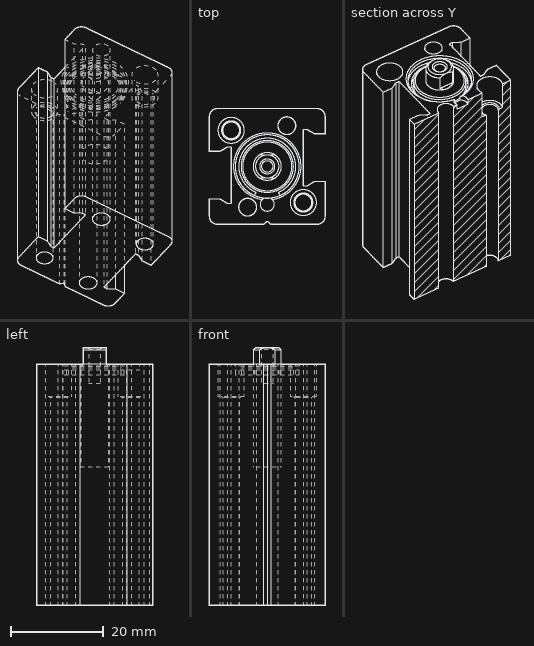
import cadquery as cq
import math

TOTAL_HEIGHT = 55.5
HOUSING_SIDE = 25.0
HOUSING_HEIGHT = 51.95
HALF_SIDE = HOUSING_SIDE / 2
CORNER_RADIUS = 1.8

SLOT_OFFSET = 1.9
SLOT_MOUTH_WIDTH = 10.2
SLOT_FLOOR_WIDTH = 12.1
SLOT_LIP_DEPTH = 2.35
SLOT_SLOPE_END_DEPTH = 3.9
SLOT_DEPTH = 4.7

GROOVE_WIDTH = 1.55
GROOVE_DEPTH = 0.65

BOLT_OFFSET = 7.75
BOLT_DIAMETER = 3.6
BOLT_CHAMFER_DIAMETER = 4.1
COUNTERBORE_DIAMETER = 5.6
COUNTERBORE_DEPTH = 7.0
PLAIN_HOLE_X = 4.2
PLAIN_HOLE_Y = 8.75
PLAIN_HOLE_DIAMETER = 3.8

RECESS_DIAMETER = 13.7
RECESS_DEPTH = 2.35
RECESS_CHAMFER = 0.4
COLLAR_DIAMETER = 11.2
COLLAR_DROP = 0.55
COLLAR_CHAMFER = 0.35

ACCESS_DIAMETER = 3.0
ACCESS_OFFSET = 8.15
ACCESS_DEPTH = 1.35

RING_INNER_DIAMETER = 12.2
RING_THICKNESS = 1.0
RING_GAP_ANGLE = 47.0

ROD_DIAMETER = 6.0
ROD_DEPTH_IN_HOUSING = 22.2
ROD_CHAMFER = 0.5
FLATS_WIDTH = 5.0
ROD_HOLE_DIAMETER = 2.45
ROD_HOLE_DEPTH = 7.75
ROD_HOLE_CHAMFER = 0.4

COLLAR_TOP = HOUSING_HEIGHT - COLLAR_DROP
RECESS_FLOOR = HOUSING_HEIGHT - RECESS_DEPTH
ROD_BOTTOM = HOUSING_HEIGHT - ROD_DEPTH_IN_HOUSING


def cylinder(diameter, bottom, top, x=0.0, y=0.0):
    """Upright cylinder between two heights."""
    return cq.Workplane(origin=(x, y, bottom)).circle(diameter / 2).extrude(top - bottom)


def cone(bottom_diameter, top_diameter, bottom, top, x=0.0, y=0.0):
    """Upright truncated cone between two heights."""
    solid = cq.Solid.makeCone(bottom_diameter / 2, top_diameter / 2, top - bottom, cq.Vector(x, y, bottom))
    return cq.Workplane(solid)


def sensor_slot():
    """Slot in the -X side that widens behind its lips."""
    mouth = SLOT_MOUTH_WIDTH / 2
    floor = SLOT_FLOOR_WIDTH / 2
    upper = [(0, mouth), (SLOT_LIP_DEPTH, mouth), (SLOT_SLOPE_END_DEPTH, floor), (SLOT_DEPTH, floor)]
    lower = [(depth, -half_width) for depth, half_width in reversed(upper)]
    outline = cq.Workplane(origin=(-HALF_SIDE, -SLOT_OFFSET, 0)).polyline(upper + lower).close()
    return outline.extrude(HOUSING_HEIGHT)


def v_groove():
    outline = [(-GROOVE_WIDTH / 2, 0), (GROOVE_WIDTH / 2, 0), (0, GROOVE_DEPTH)]
    return cq.Workplane(origin=(0, -HALF_SIDE, 0)).polyline(outline).close().extrude(HOUSING_HEIGHT)


def counterbored_hole(x, y):
    """Through hole with a deep counterbore and a chamfer at the counterbore floor."""
    floor = HOUSING_HEIGHT - COUNTERBORE_DEPTH
    chamfer_height = (BOLT_CHAMFER_DIAMETER - BOLT_DIAMETER) / 2
    hole = cylinder(BOLT_DIAMETER, 0, HOUSING_HEIGHT, x, y)
    chamfer = cone(BOLT_DIAMETER, BOLT_CHAMFER_DIAMETER, floor - chamfer_height, floor, x, y)
    counterbore = cylinder(COUNTERBORE_DIAMETER, floor, HOUSING_HEIGHT, x, y)
    return hole.union(chamfer).union(counterbore)


def ring_recess():
    """Annular recess, chamfered at its rim, that leaves the lowered collar standing."""
    rim_diameter = RECESS_DIAMETER + 2 * RECESS_CHAMFER
    rim = cone(RECESS_DIAMETER, rim_diameter, HOUSING_HEIGHT - RECESS_CHAMFER, HOUSING_HEIGHT)
    collar = cylinder(COLLAR_DIAMETER, RECESS_FLOOR, COLLAR_TOP).faces(">Z").chamfer(COLLAR_CHAMFER)
    return cylinder(RECESS_DIAMETER, RECESS_FLOOR, HOUSING_HEIGHT).union(rim).cut(collar)


def make_housing():
    body = cq.Workplane().rect(HOUSING_SIDE, HOUSING_SIDE).extrude(HOUSING_HEIGHT)
    body = body.edges("|Z").fillet(CORNER_RADIUS)
    slot = sensor_slot()
    body = body.cut(slot).cut(slot.rotate((0, 0, 0), (0, 0, 1), 180)).cut(v_groove())
    for side in (-1, 1):
        body = body.cut(counterbored_hole(side * BOLT_OFFSET, -side * BOLT_OFFSET))
        plain_hole = cylinder(
            PLAIN_HOLE_DIAMETER, 0, HOUSING_HEIGHT, side * PLAIN_HOLE_X, side * PLAIN_HOLE_Y
        )
        body = body.cut(plain_hole)
    access_pocket = cylinder(
        ACCESS_DIAMETER, HOUSING_HEIGHT - ACCESS_DEPTH, HOUSING_HEIGHT, 0, -ACCESS_OFFSET
    )
    rod_bore = cylinder(ROD_DIAMETER, ROD_BOTTOM, HOUSING_HEIGHT)
    return body.cut(ring_recess()).cut(access_pocket).cut(rod_bore)


def make_retaining_ring():
    ring_top = RECESS_FLOOR + RING_THICKNESS
    ring = cylinder(RECESS_DIAMETER, RECESS_FLOOR, ring_top)
    ring = ring.cut(cylinder(RING_INNER_DIAMETER, RECESS_FLOOR, ring_top))
    reach = RECESS_DIAMETER
    half_gap = reach * math.tan(math.radians(RING_GAP_ANGLE / 2))
    wedge = cq.Workplane(origin=(0, 0, RECESS_FLOOR))
    wedge = wedge.polyline([(0, 0), (-half_gap, -reach), (half_gap, -reach)]).close()
    return ring.cut(wedge.extrude(RING_THICKNESS))


def flat_cut(side):
    """Material outside one flat; its lower end slopes outwards down to the collar top."""
    flat = FLATS_WIDTH / 2
    edge = ROD_DIAMETER / 2
    slope_top = COLLAR_TOP + edge - flat
    outline = [
        (side * flat, slope_top),
        (side * edge, COLLAR_TOP),
        (side * edge, TOTAL_HEIGHT),
        (side * flat, TOTAL_HEIGHT),
    ]
    return cq.Workplane("YZ").polyline(outline).close().extrude(ROD_DIAMETER / 2, both=True)


def make_rod():
    rod = cylinder(ROD_DIAMETER, ROD_BOTTOM, TOTAL_HEIGHT).faces(">Z").chamfer(ROD_CHAMFER)
    for side in (-1, 1):
        rod = rod.cut(flat_cut(side))
    hole = cylinder(ROD_HOLE_DIAMETER, TOTAL_HEIGHT - ROD_HOLE_DEPTH, TOTAL_HEIGHT)
    mouth_diameter = ROD_HOLE_DIAMETER + 2 * ROD_HOLE_CHAMFER
    mouth = cone(ROD_HOLE_DIAMETER, mouth_diameter, TOTAL_HEIGHT - ROD_HOLE_CHAMFER, TOTAL_HEIGHT)
    return rod.cut(hole).cut(mouth)


housing = make_housing()
retaining_ring = make_retaining_ring()
rod = make_rod()

result = cq.Compound.makeCompound([housing.val(), retaining_ring.val(), rod.val()])